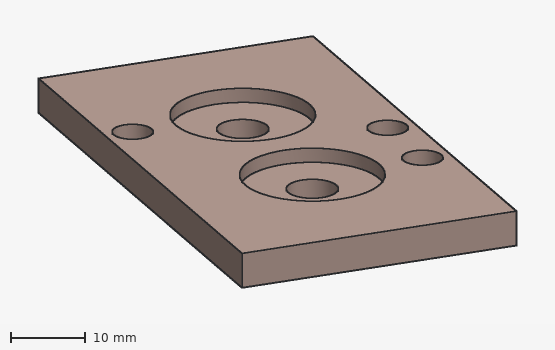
import cadquery as cq

length = 70.0
width = 40.0
thickness = 5.0

bore_offset_x = 12.0
bore_diameter = 7.0
counterbore_diameter = 19.5
counterbore_depth = 2.0
bore_centers = [(-bore_offset_x, 0), (bore_offset_x, 0)]

pin_offset_y = 16.0
pin_diameter = 5.5
pin_centers = [
    (0, pin_offset_y),
    (bore_offset_x, pin_offset_y),
    (-bore_offset_x, -pin_offset_y),
]

plate = cq.Workplane("XY").box(length, width, thickness)

bored_plate = (
    plate.faces(">Z")
    .workplane(origin=(0, 0, 0))
    .pushPoints(bore_centers)
    .cboreHole(bore_diameter, counterbore_diameter, counterbore_depth)
)

result = (
    bored_plate.faces(">Z")
    .workplane(origin=(0, 0, 0))
    .pushPoints(pin_centers)
    .hole(pin_diameter)
)